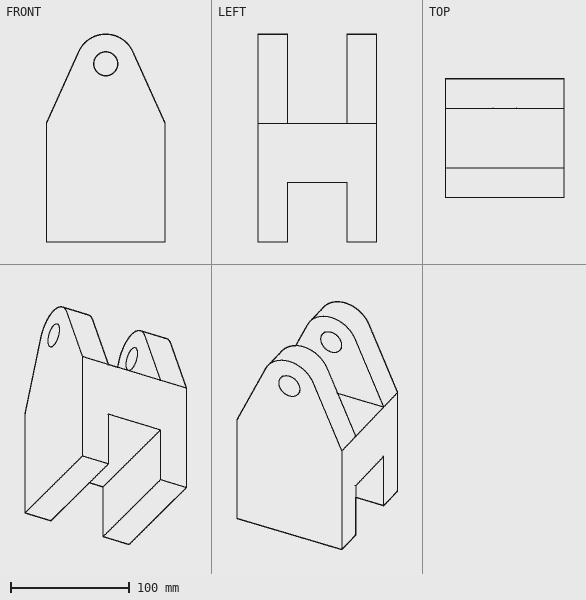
import cadquery as cq
import math

width = 100.0
depth = 100.0
block_top = 100.0

lug_thickness = 25.0
lug_radius = 25.0
pin_height = 150.0
pin_diameter = 20.0

channel_width = depth - 2 * lug_thickness
lower_channel_height = 50.0

total_height = pin_height + lug_radius


def clevis_profile():
    """Side outline: a rectangle whose tapered sides run tangent into a round top."""
    half_width = width / 2
    rise = pin_height - block_top
    shoulder_distance = math.hypot(half_width, rise)
    shoulder_angle = math.atan2(-rise, half_width)
    tangent_angle = shoulder_angle + math.acos(lug_radius / shoulder_distance)
    tangent_x = lug_radius * math.cos(tangent_angle)
    tangent_z = pin_height + lug_radius * math.sin(tangent_angle)
    return (
        cq.Workplane("XZ", origin=(0, depth / 2, 0))
        .moveTo(-half_width, 0)
        .lineTo(half_width, 0)
        .lineTo(half_width, block_top)
        .lineTo(tangent_x, tangent_z)
        .threePointArc((0, total_height), (-tangent_x, tangent_z))
        .lineTo(-half_width, block_top)
        .close()
    )


def channel(bottom, top):
    """Cutter for a central channel along X between two heights."""
    return (
        cq.Workplane("XY", origin=(0, 0, bottom))
        .box(width, channel_width, top - bottom, centered=(True, True, False))
    )


def pin_hole():
    """Cutter for the pin hole through both lugs along Y."""
    return (
        cq.Workplane("XZ", origin=(0, depth / 2, pin_height))
        .circle(pin_diameter / 2)
        .extrude(depth)
    )


body = clevis_profile().extrude(depth)
body = body.cut(channel(block_top, total_height))
body = body.cut(channel(0, lower_channel_height))
result = body.cut(pin_hole())